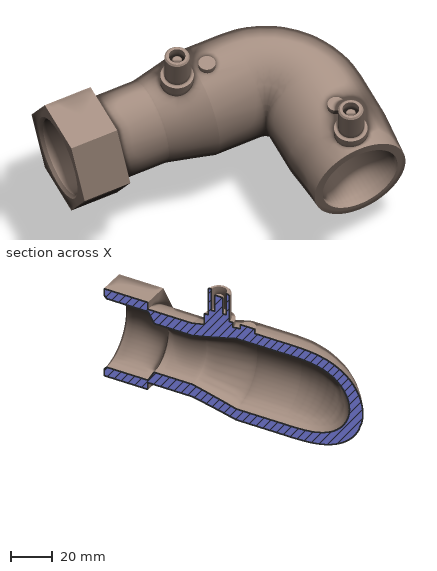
import cadquery as cq
import math

total_length = 151.0
pipe_diameter = 53.0
pipe_radius = pipe_diameter / 2
section_length = (total_length - pipe_diameter) / 4
bend_radius = pipe_radius

nut_across_flats = 50.0
neck_diameter = 42.3
outlet_diameter = 48.6

neck_bore_diameter = 27.6
pipe_bore_diameter = 40.0
nut_bore_diameter = 39.0
nut_mouth_diameter = 42.1
nut_mouth_depth = (nut_mouth_diameter - nut_bore_diameter) / 2
seat_depth = 3.3

fitting_base_z = 20.4
flange_diameter = 16.2
flange_top = 28.8
post_diameter = 12.1
post_top = 44.1
post_chamfer = 0.8
socket_diameter = 8.0
socket_depth = 12.1
pin_diameter = 4.8
pin_chamfer = 0.5
pin_recess = 2.9
button_diameter = 8.3
button_top = 29.0
button_spacing = 16.0
inlet_terminal_y = 63.7
outlet_terminal_x = 65.4

neck_start = section_length
taper_start = 2 * section_length
straight_start = 3 * section_length
bend_start = 4 * section_length
outlet_axis_y = bend_start + bend_radius
outlet_taper_start = bend_radius + section_length
outlet_end = bend_radius + 2 * section_length


def turned_y(points):
    """Solid turned around Y from (radius, y) points."""
    outline = [(0, points[0][1])] + points + [(0, points[-1][1])]
    return cq.Workplane("XY").polyline(outline).close().revolve(360, (0, 0, 0), (0, 1, 0))


def turned_outlet(points):
    """Solid turned around the outlet axis from (x, radius) points."""
    outline = [(points[0][0], 0)] + points + [(points[-1][0], 0)]
    profile = cq.Workplane("XY", origin=(0, outlet_axis_y, 0)).polyline(outline).close()
    return profile.revolve(360, (0, 0, 0), (1, 0, 0))


def elbow(diameter):
    """Quarter bend joining the inlet to the outlet."""
    profile = cq.Workplane("XZ", origin=(0, bend_start, 0)).circle(diameter / 2)
    return profile.revolve(90, (bend_radius, 1.5, 0), (bend_radius, 0, 0))


def post(x, y, diameter, bottom, top):
    """Upright cylinder between two heights."""
    return cq.Workplane("XY", origin=(x, y, bottom)).circle(diameter / 2).extrude(top - bottom)


def terminal(x, y):
    """Flanged contact post with a socket around a central pin."""
    flange = post(x, y, flange_diameter, fitting_base_z, flange_top)
    shank = post(x, y, post_diameter, fitting_base_z, post_top).faces(">Z").chamfer(post_chamfer)
    socket = post(x, y, socket_diameter, post_top - socket_depth, post_top)
    pin_top = post_top - pin_recess
    pin = post(x, y, pin_diameter, post_top - socket_depth, pin_top)
    pin = pin.faces(">Z").chamfer(pin_chamfer)
    return flange.union(shank).cut(socket).union(pin)


def button(x, y):
    """Fusion indicator button."""
    return post(x, y, button_diameter, fitting_base_z, button_top)


nut_across_corners = nut_across_flats / math.cos(math.pi / 6)
nut = cq.Workplane("XZ").polygon(6, nut_across_corners).extrude(-section_length)
inlet = turned_y([
    (neck_diameter / 2, neck_start),
    (neck_diameter / 2, taper_start),
    (pipe_radius, straight_start),
    (pipe_radius, bend_start),
])
outlet = turned_outlet([
    (bend_radius, pipe_radius),
    (outlet_taper_start, pipe_radius),
    (outlet_end, outlet_diameter / 2),
])
body = nut.union(inlet).union(elbow(pipe_diameter)).union(outlet)

body = body.union(terminal(0, inlet_terminal_y))
body = body.union(button(0, inlet_terminal_y + button_spacing))
body = body.union(terminal(outlet_terminal_x, outlet_axis_y))
body = body.union(button(outlet_terminal_x - button_spacing, outlet_axis_y))

inlet_bore = turned_y([
    (nut_mouth_diameter / 2, 0),
    (nut_bore_diameter / 2, nut_mouth_depth),
    (nut_bore_diameter / 2, section_length),
    (neck_bore_diameter / 2, section_length + seat_depth),
    (neck_bore_diameter / 2, taper_start),
    (pipe_bore_diameter / 2, straight_start),
    (pipe_bore_diameter / 2, bend_start),
])
outlet_bore = turned_outlet([
    (bend_radius, pipe_bore_diameter / 2),
    (outlet_end, pipe_bore_diameter / 2),
])
result = body.cut(inlet_bore).cut(elbow(pipe_bore_diameter)).cut(outlet_bore)